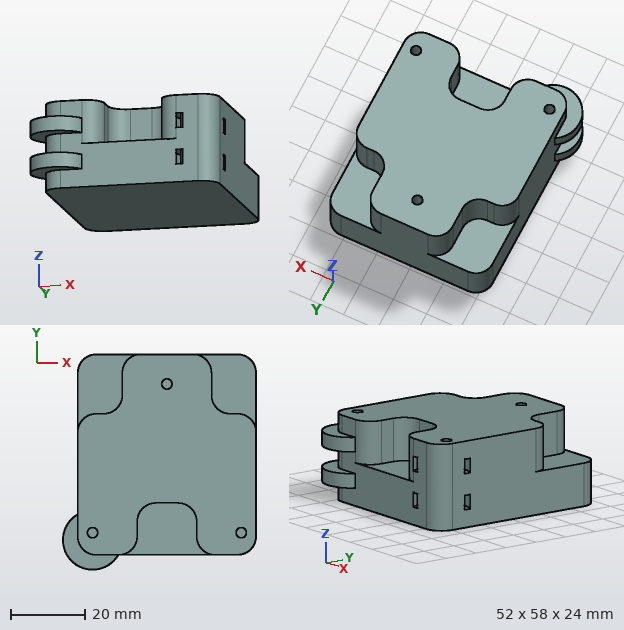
import cadquery as cq

block_width = 48.0
block_depth = 54.0
block_height = 24.0
split_height = block_height / 2
corner_radius = 5.0

tail_width = block_width / 2
rear_step_depth = block_width / 3
notch_width = block_width / 3
notch_depth = 14.0

hinge_inset = 4.0
knuckle_radius = 2 * hinge_inset
slot_core_radius = 6.5
knuckle_height = 4.0
lower_knuckle_base = 5.0
knuckle_spacing = 10.05
knuckle_bases = [lower_knuckle_base, lower_knuckle_base + knuckle_spacing]

hole_diameter = 2.8
hole_side_inset = 4.0
hole_front_inset = 6.0
hole_rear_inset = 8.0

right_x = block_width / 2
rear_y = block_depth / 2
front_y = -rear_y


def make_lower_half():
    return (
        cq.Workplane("XY")
        .rect(block_width, block_depth)
        .extrude(split_height)
        .edges("|Z")
        .fillet(corner_radius)
    )


def make_upper_half():
    """Narrow tail at the rear, two arms at the front, every corner rounded."""
    tail_x = tail_width / 2
    notch_x = notch_width / 2
    shoulder_y = rear_y - rear_step_depth
    notch_y = front_y + notch_depth
    right_outline = [
        (tail_x, rear_y),
        (tail_x, shoulder_y),
        (right_x, shoulder_y),
        (right_x, front_y),
        (notch_x, front_y),
        (notch_x, notch_y),
    ]
    left_outline = [(-x, y) for x, y in reversed(right_outline)]
    return (
        cq.Workplane("XY", origin=(0, 0, split_height))
        .polyline(right_outline + left_outline)
        .close()
        .extrude(block_height - split_height)
        .edges("|Z")
        .fillet(corner_radius)
    )


def hinge_plane(side, base):
    """Plane on a hinge axis; side is -1 for left and 1 for right."""
    axis_x = side * (right_x - hinge_inset)
    axis_y = front_y + hinge_inset
    return cq.Workplane("XY", origin=(axis_x, axis_y, base))


def make_knuckle(base):
    return hinge_plane(-1, base).circle(knuckle_radius).extrude(knuckle_height)


def make_ring_slot(base):
    ring = hinge_plane(1, base).circle(knuckle_radius).circle(slot_core_radius)
    return ring.extrude(knuckle_height)


def make_pin_holes():
    hole_x = right_x - hole_side_inset
    front_hole_y = front_y + hole_front_inset
    hole_points = [
        (-hole_x, front_hole_y),
        (hole_x, front_hole_y),
        (0, rear_y - hole_rear_inset),
    ]
    return (
        cq.Workplane("XY", origin=(0, 0, split_height))
        .pushPoints(hole_points)
        .circle(hole_diameter / 2)
        .extrude(block_height - split_height)
    )


result = make_lower_half().union(make_upper_half())
for knuckle_base in knuckle_bases:
    result = result.union(make_knuckle(knuckle_base))
    result = result.cut(make_ring_slot(knuckle_base))
result = result.cut(make_pin_holes())